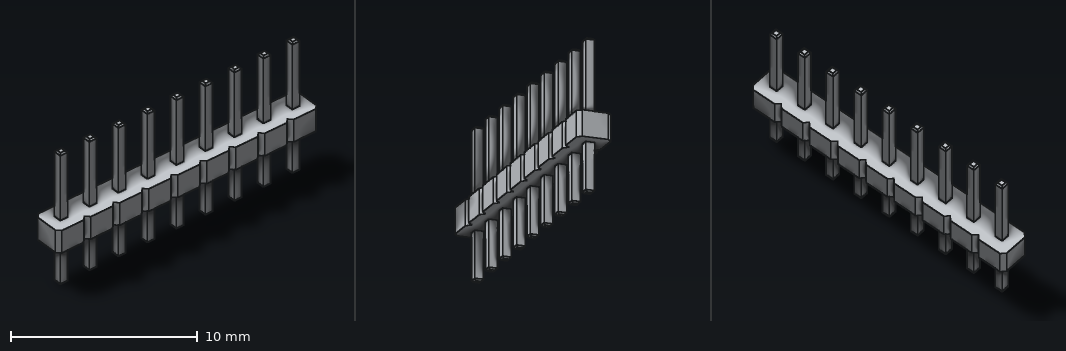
import cadquery as cq


pin_count = 9
strip_length = 18.0
pitch = strip_length / pin_count
strip_width = pitch
strip_height = 1.5
corner_cut = 0.25

pin_width = 0.5
pin_above = 4.4
pin_below = 2.8
tip_chamfer = 0.1

pin_length = pin_below + strip_height + pin_above
pin_positions = [(0, (i - (pin_count - 1) / 2) * pitch) for i in range(pin_count)]


def make_strip():
    """Row of cells with cut corners, so that neighbours leave V-notches between them."""
    block = cq.Workplane("XY").box(strip_width, pitch, strip_height, centered=(True, True, False))
    cell = block.edges("|Z").chamfer(corner_cut)
    strip = cq.Workplane("XY")
    for x, y in pin_positions:
        strip = strip.union(cell.translate((x, y, 0)))
    return strip.clean()


def make_pin():
    """Square pin running through the strip, with all edges of both tips chamfered."""
    blank = cq.Workplane("XY").box(pin_width, pin_width, pin_length, centered=(True, True, False))
    pin = blank.faces("<Z or >Z").chamfer(tip_chamfer)
    return pin.translate((0, 0, -pin_below))


result = make_strip()
pin = make_pin()
for x, y in pin_positions:
    result = result.union(pin.translate((x, y, 0)))